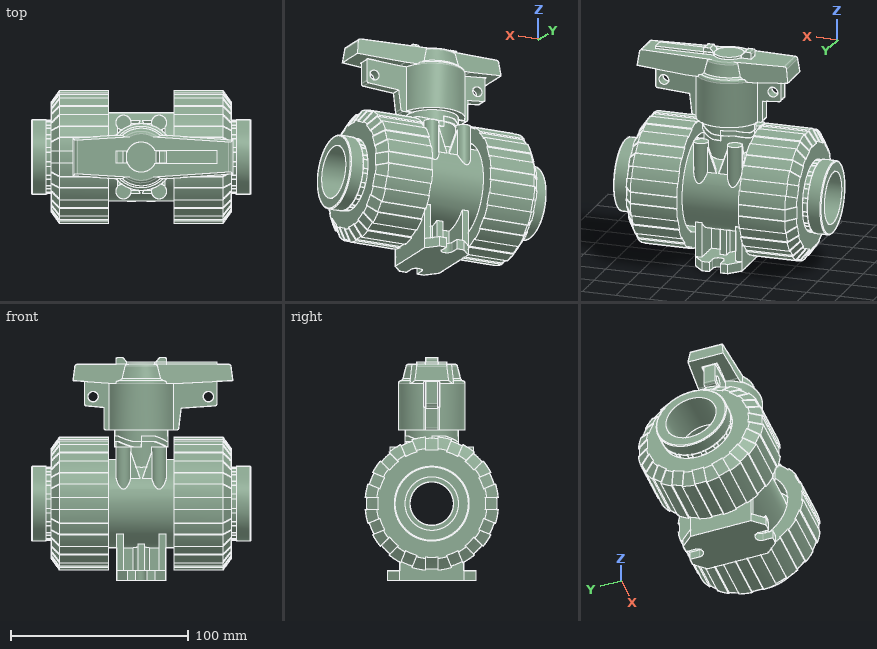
import cadquery as cq
import math


NUT_INNER_X = 18.4
NUT_OUTER_X = 50.85
NUT_RADIUS = 37.75
NUT_BEVEL_LENGTH = 4.7
NUT_BEVEL_RADIUS = 31.2
NUT_THREAD_RADIUS = 28.3
NUT_LIP = 3.85
GROOVE_COUNT = 16
GROOVE_WIDTH = 6.92
GROOVE_DEPTH = 0.8

PIPE_END_X = 62.0
COLLAR_LENGTH = 8.15
COLLAR_RADIUS = 21.15
COLLAR_CHAMFER = 0.5
SLEEVE_RADIUS = 20.8
PIPE_BORE_RADIUS = 15.1
FLANGE_THICKNESS = 8.0
JOINT_X = NUT_OUTER_X - NUT_LIP - FLANGE_THICKNESS
SPLINE_COUNT = 16
SPLINE_GROOVE_ANGLE = 7.5
SPLINE_GROOVE_DEPTH = 0.4

BARREL_RADIUS = 25.0
BORE_RADIUS = 12.2
THREAD_START_X = 32.0
BORE_SHOULDER_X = 20.0
COLUMN_RADIUS = 14.3
POST_TOP = 32.1
POST_X = 10.05
POST_Y = 19.4
POST_RADIUS = 4.25
WEB_THICKNESS = 1.5
FRONT_WEB_FACE = 20.5
SIDE_WEB_FACE = 13.4
WEB_NOTCH_SLOPE = 0.355
FRONT_NOTCH_BOTTOM_HALF = 0.6
SIDE_NOTCH_BOTTOM_HALF = 12.6
FRONT_NOTCH_FLOOR = 14.2
SIDE_NOTCH_FLOOR = 22.0

FOOT_BOTTOM = -43.43
FOOT_THICKNESS = 5.6
FOOT_HALF_X = 13.9
FOOT_HALF_Y = 25.0
FOOT_WALL_THICKNESS = 3.8
FOOT_WALL_HALF_Y = 18.2
FOOT_RIB_HALF_Y = 10.2
FOOT_BOSS_RADIUS = 5.0
FOOT_SLOT_RADIUS = 3.3
FOOT_SLOT_Y = 19.1
FOOT_CHAMFER_X = 6.2
FOOT_CHAMFER_Y = FOOT_HALF_Y - FOOT_WALL_HALF_Y

NECK_RADIUS = 15.0
CAM_RADIUS = 15.2
CAM_HIGH = 38.2
CAM_LOW = 35.2
CAM_HEIGHT = CAM_LOW - POST_TOP
COLUMN_TOP = CAM_HIGH - CAM_HEIGHT
CAM_STEP_ANGLE = 90
CAM_RAMP_START = 30
CAM_RAMP_END = 70
SPINDLE_RADIUS = 12.0
SPINDLE_TOP = 54.5

HUB_BOTTOM = 41.5
HUB_SHOULDER = 67.9
HUB_RADIUS = 18.85
SHOULDER_ROUND = 1.5
SHOULDER_TOP = HUB_SHOULDER + SHOULDER_ROUND
CROWN_BOTTOM = 70.5
CROWN_BOTTOM_RADIUS = 16.3
LEVER_TOP = 78.7
CROWN_TOP_RADIUS = 14.3
CROWN_ROUND = 1.4
LEVER_LEFT_X = -38.8
LEVER_RIGHT_X = 52.0
LEVER_LEFT_HALF = 10.8
LEVER_MID_HALF = 13.2
LEVER_RIGHT_HALF = 9.7
LEVER_DRAFT = 7.5
LEVER_END_ROUND = 1.5
LEVER_END_BOTTOM = 69.4
LEVER_SLOPE_LEFT_X = -18.0
LEVER_SLOPE_RIGHT_X = 22.5
SLOT_WIDTH = 9.0
SLOT_TOP = 69.5
RAISED_TOP = 80.0
BUTTON_RADIUS = 8.5
BAR_WIDTH = 7.6

INSERT_WIDTH = 6.8
INSERT_LEFT_X = -32.1
INSERT_RIGHT_X = 42.8
INSERT_END_BOTTOM = 55.2
INSERT_ROUND = 1.3
LEG_LEFT_X = -21.1
LEG_RIGHT_X = 21.1
LEG_RIGHT_TOP_X = 22.6
LEG_LEFT_TOP = 54.2
LEG_RIGHT_TOP = 53.8
LOCK_HOLE_RADIUS = 2.85
LOCK_HOLE_Z = 60.4
LOCK_HOLES_X = (-27.2, 37.9)
PRONG_INNER_X = 8.2
PRONG_PEAK_X = 10.3
PRONG_OUTER_X = 14.3
PRONG_TOP = 82.5
PRONG_ROUND = 1.0


def x_cylinder(radius, start, end):
    return cq.Workplane("YZ").workplane(offset=start).circle(radius).extrude(end - start)


def z_cylinder(radius, bottom, top, x=0, y=0):
    return cq.Workplane("XY").workplane(offset=bottom).center(x, y).circle(radius).extrude(top - bottom)


def span_box(x_range, y_range, z_range):
    """Box between the given limits on each axis."""
    size = [high - low for low, high in (x_range, y_range, z_range)]
    corner = (x_range[0], y_range[0], z_range[0])
    return cq.Workplane("XY").box(*size, centered=False).translate(corner)


def turned_about_x(points):
    return cq.Workplane("XY").polyline(points).close().revolve(360, (0, 0, 0), (1, 0, 0))


def mirrored_pair(body):
    """The body on the +X side and its mirror image on the -X side."""
    return [body, body.mirror("YZ")]


def make_nut():
    bevel_x = NUT_OUTER_X - NUT_BEVEL_LENGTH
    lip_x = NUT_OUTER_X - NUT_LIP
    nut = turned_about_x([
        (NUT_INNER_X, NUT_THREAD_RADIUS),
        (NUT_INNER_X, NUT_RADIUS),
        (bevel_x, NUT_RADIUS),
        (NUT_OUTER_X, NUT_BEVEL_RADIUS),
        (NUT_OUTER_X, SLEEVE_RADIUS),
        (lip_x, SLEEVE_RADIUS),
        (lip_x, NUT_THREAD_RADIUS),
    ])
    clear_radius = NUT_RADIUS + GROOVE_DEPTH
    shell = turned_about_x([
        (NUT_INNER_X, NUT_RADIUS - GROOVE_DEPTH),
        (NUT_INNER_X, clear_radius),
        (NUT_OUTER_X, clear_radius),
        (NUT_OUTER_X, NUT_BEVEL_RADIUS - GROOVE_DEPTH),
        (bevel_x, NUT_RADIUS - GROOVE_DEPTH),
    ])
    half_width = GROOVE_WIDTH / 2
    window = span_box((NUT_INNER_X, NUT_OUTER_X), (0, clear_radius), (-half_width, half_width))
    groove = shell.intersect(window)
    for index in range(GROOVE_COUNT):
        nut = nut.cut(groove.rotate((0, 0, 0), (1, 0, 0), index * 360 / GROOVE_COUNT))
    return nut


def make_connector():
    collar_x = PIPE_END_X - COLLAR_LENGTH
    collar = x_cylinder(COLLAR_RADIUS, collar_x, PIPE_END_X).faces(">X").edges().chamfer(COLLAR_CHAMFER)
    sleeve = x_cylinder(SLEEVE_RADIUS, JOINT_X, collar_x)
    flange = x_cylinder(NUT_THREAD_RADIUS, JOINT_X, JOINT_X + FLANGE_THICKNESS)
    connector = collar.union(sleeve).union(flange)

    pitch = 360 / SPLINE_COUNT
    half_width = SLEEVE_RADIUS * math.sin(math.radians(SPLINE_GROOVE_ANGLE / 2))
    floor = SLEEVE_RADIUS - SPLINE_GROOVE_DEPTH
    groove = span_box((NUT_OUTER_X, collar_x), (floor, COLLAR_RADIUS), (-half_width, half_width))
    for index in range(SPLINE_COUNT):
        connector = connector.cut(groove.rotate((0, 0, 0), (1, 0, 0), (index + 0.5) * pitch))
    return connector.cut(x_cylinder(PIPE_BORE_RADIUS, JOINT_X, PIPE_END_X))


def make_web(half_span, outer_face, notch_floor, notch_bottom_half):
    """Thin wall facing -Y with a V notch open at the top."""
    wall = span_box((-half_span, half_span), (-outer_face, WEB_THICKNESS - outer_face), (0, POST_TOP))
    notch_top_half = notch_bottom_half + (POST_TOP - notch_floor) * WEB_NOTCH_SLOPE
    notch = (
        cq.Workplane("XZ")
        .polyline([
            (-notch_bottom_half, notch_floor),
            (notch_bottom_half, notch_floor),
            (notch_top_half, POST_TOP),
            (-notch_top_half, POST_TOP),
        ])
        .close()
        .extrude(outer_face)
    )
    return wall.cut(notch)


def make_foot():
    foot_top = FOOT_BOTTOM + FOOT_THICKNESS
    corner_x = FOOT_HALF_X - FOOT_CHAMFER_X
    quarter = [(FOOT_HALF_X, FOOT_HALF_Y - FOOT_CHAMFER_Y), (corner_x, FOOT_HALF_Y)]
    outline = (
        quarter
        + [(-x, y) for x, y in reversed(quarter)]
        + [(-x, -y) for x, y in quarter]
        + [(x, -y) for x, y in reversed(quarter)]
    )
    foot = cq.Workplane("XY").workplane(offset=FOOT_BOTTOM).polyline(outline).close().extrude(FOOT_THICKNESS)

    rib_half = FOOT_WALL_THICKNESS / 2
    wall_inner_x = FOOT_HALF_X - FOOT_WALL_THICKNESS
    rise = (foot_top, 0)
    across_y = (-FOOT_WALL_HALF_Y, FOOT_WALL_HALF_Y)
    foot = foot.union(z_cylinder(FOOT_BOSS_RADIUS, *rise))
    foot = foot.union(span_box((-wall_inner_x, wall_inner_x), (-rib_half, rib_half), rise))
    foot = foot.union(span_box((-rib_half, rib_half), (-FOOT_RIB_HALF_Y, FOOT_RIB_HALF_Y), rise))
    for wall_x in ((-FOOT_HALF_X, -wall_inner_x), (wall_inner_x, FOOT_HALF_X)):
        foot = foot.union(span_box(wall_x, across_y, rise))

    for side in (-1, 1):
        slot_y = side * FOOT_SLOT_Y
        slot_mouth = sorted((slot_y, side * FOOT_HALF_Y))
        slot_x = (-FOOT_SLOT_RADIUS, FOOT_SLOT_RADIUS)
        foot = foot.cut(z_cylinder(FOOT_SLOT_RADIUS, FOOT_BOTTOM, foot_top, 0, slot_y))
        foot = foot.cut(span_box(slot_x, slot_mouth, (FOOT_BOTTOM, foot_top)))
    return foot


def make_housing():
    housing = x_cylinder(BARREL_RADIUS, -JOINT_X, JOINT_X)
    for thread in mirrored_pair(x_cylinder(NUT_THREAD_RADIUS, THREAD_START_X, JOINT_X)):
        housing = housing.union(thread)
    housing = housing.union(z_cylinder(COLUMN_RADIUS, 0, COLUMN_TOP))
    for post_x in (-POST_X, POST_X):
        for post_y in (-POST_Y, POST_Y):
            housing = housing.union(z_cylinder(POST_RADIUS, 0, POST_TOP, post_x, post_y))

    front_web = make_web(POST_X, FRONT_WEB_FACE, FRONT_NOTCH_FLOOR, FRONT_NOTCH_BOTTOM_HALF)
    side_web = make_web(POST_Y, SIDE_WEB_FACE, SIDE_NOTCH_FLOOR, SIDE_NOTCH_BOTTOM_HALF)
    for web, first_angle in ((front_web, 0), (side_web, 90)):
        for angle in (first_angle, first_angle + 180):
            housing = housing.union(web.rotate((0, 0, 0), (0, 0, 1), angle))
    housing = housing.union(make_foot())
    for counterbore in mirrored_pair(x_cylinder(PIPE_BORE_RADIUS, BORE_SHOULDER_X, JOINT_X)):
        housing = housing.cut(counterbore)
    return housing.cut(x_cylinder(BORE_RADIUS, -JOINT_X, JOINT_X))


def cam_offset(angle):
    """Sideways position of a point on the rim, with the step seen square on."""
    return CAM_RADIUS * math.sin(math.radians(angle - CAM_STEP_ANGLE / 2))


def cam_edge(low, high):
    """Points along one cam step, from its high start to its low end."""
    return [
        (cam_offset(0), high),
        (cam_offset(CAM_RAMP_START), high),
        (cam_offset(CAM_RAMP_END), low),
        (cam_offset(CAM_STEP_ANGLE), low),
    ]


def make_cam_step(radius, lower_edge, upper_edge):
    """Quarter of a round disc facing -Y, between the two edges."""
    block = cq.Workplane("XZ").polyline(lower_edge + upper_edge[::-1]).close().extrude(CAM_RADIUS)
    sector = z_cylinder(radius, POST_TOP, HUB_BOTTOM).intersect(
        span_box((0, CAM_RADIUS), (-CAM_RADIUS, 0), (POST_TOP, HUB_BOTTOM))
    )
    return block.intersect(sector.rotate((0, 0, 0), (0, 0, 1), -CAM_STEP_ANGLE / 2))


def make_stem():
    stem = z_cylinder(COLUMN_RADIUS, COLUMN_TOP, HUB_BOTTOM)
    stem = stem.union(z_cylinder(SPINDLE_RADIUS, COLUMN_TOP, SPINDLE_TOP))
    rim_bottom = cam_edge(POST_TOP, COLUMN_TOP)
    rim_top = cam_edge(CAM_LOW, CAM_HIGH)
    neck_top = cam_edge(HUB_BOTTOM, HUB_BOTTOM)
    rim = make_cam_step(CAM_RADIUS, rim_bottom, rim_top)
    neck = make_cam_step(NECK_RADIUS, rim_top, [neck_top[0], neck_top[-1]])
    for index in range(360 // CAM_STEP_ANGLE):
        angle = (index + 0.5) * CAM_STEP_ANGLE
        for piece in (rim, neck):
            stem = stem.union(piece.rotate((0, 0, 0), (0, 0, 1), angle))
    return stem.cut(z_cylinder(COLUMN_RADIUS, POST_TOP, COLUMN_TOP))


def make_prong():
    """Prong on the +X side, sloped towards the middle."""
    prong = (
        cq.Workplane("XZ", origin=(0, INSERT_WIDTH / 2, 0))
        .polyline([
            (PRONG_INNER_X, SLOT_TOP),
            (PRONG_INNER_X, RAISED_TOP),
            (PRONG_PEAK_X, PRONG_TOP),
            (PRONG_OUTER_X, PRONG_TOP),
            (PRONG_OUTER_X, SLOT_TOP),
        ])
        .close()
        .extrude(INSERT_WIDTH)
    )
    return prong.edges("|Y and >X and >Z").fillet(PRONG_ROUND)


def make_insert():
    insert = (
        cq.Workplane("XZ", origin=(0, INSERT_WIDTH / 2, 0))
        .polyline([
            (INSERT_LEFT_X, SLOT_TOP),
            (INSERT_LEFT_X, INSERT_END_BOTTOM),
            (LEG_LEFT_X, LEG_LEFT_TOP),
            (LEG_LEFT_X, HUB_BOTTOM),
            (LEG_RIGHT_X, HUB_BOTTOM),
            (LEG_RIGHT_TOP_X, LEG_RIGHT_TOP),
            (INSERT_RIGHT_X, INSERT_END_BOTTOM),
            (INSERT_RIGHT_X, SLOT_TOP),
        ])
        .close()
        .extrude(INSERT_WIDTH)
    )
    insert = insert.edges("|Y and (<X or >X)").edges("<Z").fillet(INSERT_ROUND)
    insert = insert.faces("<Z").edges("|Y").fillet(INSERT_ROUND)
    insert = insert.cut(z_cylinder(SPINDLE_RADIUS, HUB_BOTTOM, SPINDLE_TOP))
    for hole_x in LOCK_HOLES_X:
        hole = (
            cq.Workplane("XZ", origin=(hole_x, INSERT_WIDTH / 2, LOCK_HOLE_Z))
            .circle(LOCK_HOLE_RADIUS)
            .extrude(INSERT_WIDTH)
        )
        insert = insert.cut(hole)
    for prong in mirrored_pair(make_prong()):
        insert = insert.union(prong)
    return insert


def make_hub():
    shoulder_flat = HUB_RADIUS - SHOULDER_ROUND
    round_middle = SHOULDER_ROUND * math.sqrt(0.5)
    hub = (
        cq.Workplane("XZ")
        .moveTo(0, HUB_BOTTOM)
        .lineTo(HUB_RADIUS, HUB_BOTTOM)
        .lineTo(HUB_RADIUS, HUB_SHOULDER)
        .threePointArc(
            (shoulder_flat + round_middle, HUB_SHOULDER + round_middle),
            (shoulder_flat, SHOULDER_TOP),
        )
        .lineTo(CROWN_BOTTOM_RADIUS, CROWN_BOTTOM)
        .lineTo(CROWN_TOP_RADIUS, LEVER_TOP)
        .lineTo(0, LEVER_TOP)
        .close()
        .revolve(360, (0, 0, 0), (0, 1, 0))
    )
    return hub.faces(">Z").edges().fillet(CROWN_ROUND)


def make_lever():
    lever = (
        cq.Workplane("XY")
        .workplane(offset=HUB_SHOULDER)
        .polyline([
            (LEVER_LEFT_X, -LEVER_LEFT_HALF),
            (0, -LEVER_MID_HALF),
            (LEVER_RIGHT_X, -LEVER_RIGHT_HALF),
            (LEVER_RIGHT_X, LEVER_RIGHT_HALF),
            (0, LEVER_MID_HALF),
            (LEVER_LEFT_X, LEVER_LEFT_HALF),
        ])
        .close()
        .extrude(LEVER_TOP - HUB_SHOULDER, taper=LEVER_DRAFT)
    )
    lever = lever.faces(">Z").edges("|Y").fillet(LEVER_END_ROUND)
    for end_x, slope_x in ((LEVER_LEFT_X, LEVER_SLOPE_LEFT_X), (LEVER_RIGHT_X, LEVER_SLOPE_RIGHT_X)):
        underside = (
            cq.Workplane("XZ")
            .polyline([(slope_x, HUB_SHOULDER), (end_x, HUB_SHOULDER), (end_x, LEVER_END_BOTTOM)])
            .close()
            .extrude(LEVER_MID_HALF, both=True)
        )
        lever = lever.cut(underside)
    return lever


def make_handle(insert):
    handle = make_hub().union(make_lever())
    handle = handle.union(z_cylinder(BUTTON_RADIUS, LEVER_TOP, RAISED_TOP))
    bar_y = (-BAR_WIDTH / 2, BAR_WIDTH / 2)
    handle = handle.union(span_box((0, INSERT_RIGHT_X), bar_y, (LEVER_TOP, RAISED_TOP)))
    slot_y = (-SLOT_WIDTH / 2, SLOT_WIDTH / 2)
    handle = handle.cut(span_box((INSERT_LEFT_X, INSERT_RIGHT_X), slot_y, (HUB_BOTTOM, SLOT_TOP)))
    handle = handle.cut(z_cylinder(SPINDLE_RADIUS, HUB_BOTTOM, SPINDLE_TOP))
    return handle.cut(insert)


housing = make_housing()
nuts = mirrored_pair(make_nut())
connectors = mirrored_pair(make_connector())
stem = make_stem()
insert = make_insert()
handle = make_handle(insert)

result = cq.Compound.makeCompound([
    housing.val(),
    *[nut.val() for nut in nuts],
    *[connector.val() for connector in connectors],
    stem.val(),
    insert.val(),
    handle.val(),
])